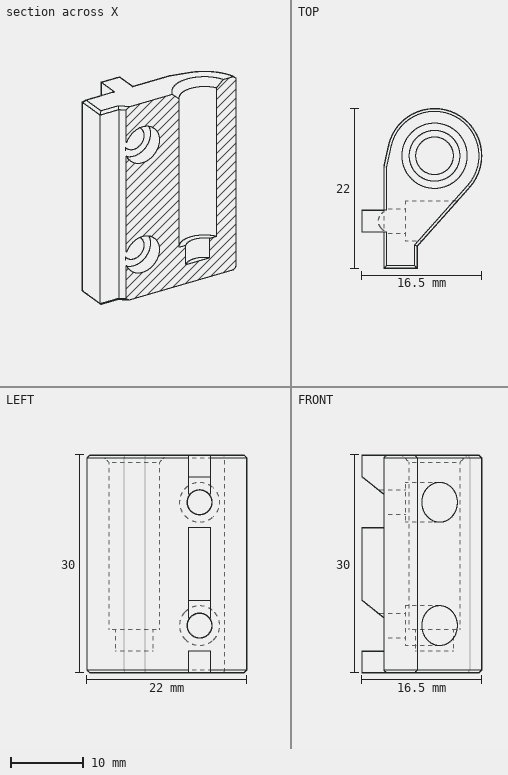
import cadquery as cq
import math

height = 30.0
overall_width = 16.5
overall_length = 22.02
barrel_radius = 6.5
edge_chamfer = 0.4

mount_x = -7.0
leg_width = 4.62
leg_right_x = mount_x + leg_width
leg_bottom_y = barrel_radius - overall_length
leg_shoulder_y = -12.45
flat_top_y = -1.5

bore_diameter = 7.0
bore_depth = 24.0
bore_mouth_diameter = 9.0
bore_mouth_depth = (bore_mouth_diameter - bore_diameter) / 2
pilot_diameter = 5.2
pilot_depth = 27.0

screw_y = -9.0
screw_heights = (6.5, 23.5)
screw_diameter = 3.4
head_diameter = 5.5
head_floor_x = mount_x + 3.0
tab_width = 3.0
tab_tip_x = barrel_radius - overall_width
tab_root_x = mount_x + 2 * edge_chamfer
tab_slope_drop = 2.4
tab_slope = tab_slope_drop / (mount_x - tab_tip_x)
lower_tab_top = 3.0
middle_tab_bottom = 10.0
middle_tab_top = 20.0
upper_tab_bottom = 27.0


def tangent_point(x, y, side):
    """Touch point on the barrel of a line from (x, y); side picks one of the two tangents."""
    spread = math.acos(barrel_radius / math.hypot(x, y))
    angle = math.atan2(y, x) + side * spread
    return barrel_radius * math.cos(angle), barrel_radius * math.sin(angle)


def make_body():
    left_touch = tangent_point(mount_x, flat_top_y, -1)
    right_touch = tangent_point(leg_right_x, leg_shoulder_y, 1)
    return (
        cq.Workplane("XY")
        .moveTo(mount_x, leg_bottom_y)
        .lineTo(leg_right_x, leg_bottom_y)
        .lineTo(leg_right_x, leg_shoulder_y)
        .lineTo(*right_touch)
        .threePointArc((0, barrel_radius), left_touch)
        .lineTo(mount_x, flat_top_y)
        .close()
        .extrude(height)
        .faces("<Z or >Z")
        .edges()
        .chamfer(edge_chamfer)
    )


def make_tab(bottom, top, slope):
    """Tab on the mounting face; its underside falls toward the body at the given slope."""
    root_bottom = bottom - slope * (tab_root_x - tab_tip_x)
    return (
        cq.Workplane("XZ", origin=(0, screw_y, 0))
        .polyline([(tab_tip_x, bottom), (tab_tip_x, top), (tab_root_x, top), (tab_root_x, root_bottom)])
        .close()
        .extrude(tab_width / 2, both=True)
    )


def cylinder_along_x(diameter, start_x, end_x, z):
    return (
        cq.Workplane("YZ", origin=(start_x, screw_y, z))
        .circle(diameter / 2)
        .extrude(end_x - start_x)
    )


def make_bore():
    """Chamfered bore with a narrower pilot at its floor, revolved about the barrel axis."""
    return (
        cq.Workplane("XZ")
        .moveTo(0, height)
        .lineTo(bore_mouth_diameter / 2, height)
        .lineTo(bore_diameter / 2, height - bore_mouth_depth)
        .lineTo(bore_diameter / 2, height - bore_depth)
        .lineTo(pilot_diameter / 2, height - bore_depth)
        .lineTo(pilot_diameter / 2, height - pilot_depth)
        .lineTo(0, height - pilot_depth)
        .close()
        .revolve(360, (0, 0, 0), (0, 1, 0))
    )


result = make_body()
result = result.union(make_tab(0, lower_tab_top, 0))
result = result.union(make_tab(middle_tab_bottom, middle_tab_top, tab_slope))
result = result.union(make_tab(upper_tab_bottom, height, tab_slope))
result = result.cut(make_bore())

for screw_z in screw_heights:
    result = result.cut(cylinder_along_x(screw_diameter, tab_tip_x, barrel_radius, screw_z))
    result = result.cut(cylinder_along_x(head_diameter, head_floor_x, barrel_radius, screw_z))